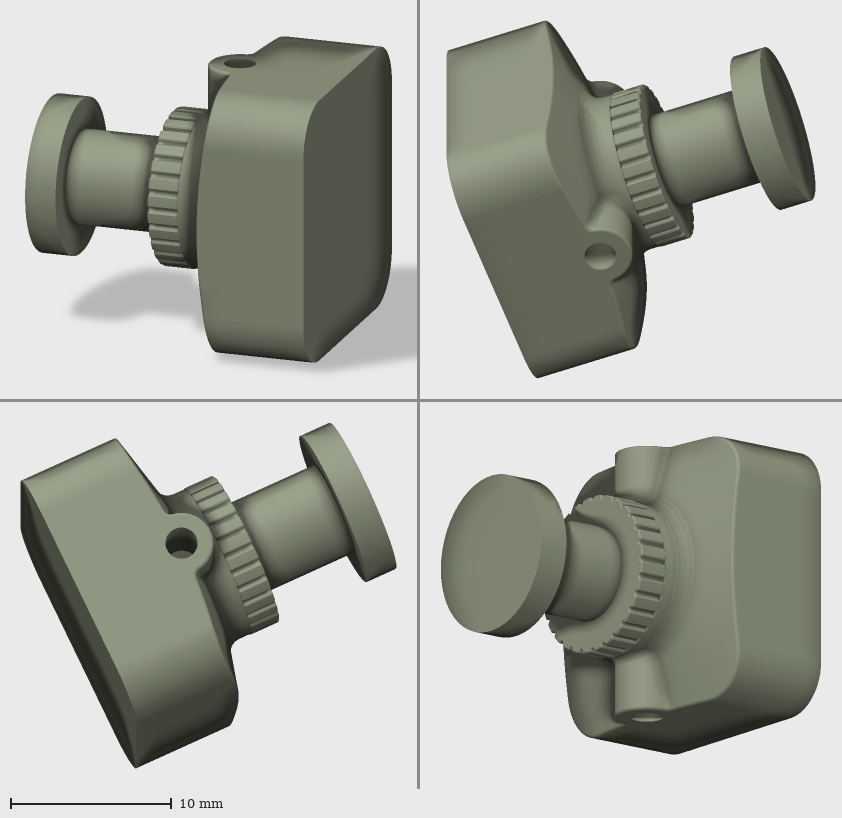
import cadquery as cq
import math

knob_diameter = 10.0
knob_length = 2.0
stem_diameter = 6.0

nut_start = 8.03
nut_diameter = 10.0
nut_chamfer = 0.07
groove_count = 28
groove_depth = 0.23
groove_shoulder_depth = 0.08
groove_top_width = 0.5
groove_floor_width = 0.3

total_length = 19.51
housing_width = 17.02
corner_radius = 3.0
cone_angle = 15.0
rim_x = 12.46
rim_fillet = 0.2

collar_start = 10.0
collar_radius = 4.95
collar_fillet = 1.0

port_x = 12.43
port_radius = 2.0
port_bore_diameter = 2.0
port_fillet = 0.45

half_width = housing_width / 2
cone_slope = math.tan(math.radians(cone_angle))
apex_x = rim_x - half_width * cone_slope
cone_end_x = apex_x + housing_width * cone_slope
stem_end = port_x + port_radius

collar_allowance = 0.5
tolerance = 0.01


def rod(start_x, end_x, radius):
    """Cylinder along the X axis."""
    return cq.Workplane("YZ", origin=(start_x, 0, 0)).circle(radius).extrude(end_x - start_x)


def housing_block():
    """Square block with rounded corners and a shallow cone as its front face."""
    block = (
        cq.Workplane("YZ", origin=(apex_x, 0, 0))
        .rect(housing_width, housing_width)
        .extrude(total_length - apex_x)
        .edges("|X")
        .fillet(corner_radius)
    )
    cone = (
        cq.Workplane("XY")
        .moveTo(apex_x, 0)
        .lineTo(cone_end_x, housing_width)
        .lineTo(total_length, housing_width)
        .lineTo(total_length, 0)
        .close()
        .revolve(360, (0, 0, 0), (1, 0, 0))
    )
    return block.intersect(cone)


def at_collar_foot(edge):
    """True for the circle where the collar meets the cone."""
    foot_x = apex_x + collar_radius * cone_slope
    return edge.geomType() == "CIRCLE" and abs(edge.Center().x - foot_x) < tolerance


def at_rim(edge):
    """True for edges along the outline of the housing's front face, ports included."""
    middle = edge.positionAt(0.5)
    y = abs(middle.y)
    z = abs(middle.z)
    corner_centre = half_width - corner_radius
    if min(y, z) > corner_centre:
        on_outline = math.hypot(y - corner_centre, z - corner_centre) > corner_radius - tolerance
    else:
        on_outline = max(y, z) > half_width - tolerance
    return on_outline and edge.geomType() != "LINE" and edge.BoundingBox().xmax < cone_end_x


def at_port_foot(edge):
    """True for edges where a port runs into the cone or the collar."""
    ends = [edge.startPoint(), edge.endPoint()]
    on_port = all(
        abs(math.hypot(end.x - port_x, end.y) - port_radius) < tolerance for end in ends
    )
    return on_port and not at_rim(edge)


def housing():
    """Front housing with its collar and ports, all blended together."""
    body = housing_block().union(rod(collar_start - collar_allowance, rim_x, collar_radius))
    body = body.edges().filter(at_collar_foot).fillet(collar_fillet)
    ports = (
        cq.Workplane("XY", origin=(port_x, 0, -half_width))
        .circle(port_radius)
        .extrude(housing_width)
    )
    body = body.union(ports)
    body = body.edges().filter(at_port_foot).fillet(port_fillet)
    body = body.edges().filter(at_rim).fillet(rim_fillet)
    body = body.cut(rod(collar_start - 2 * collar_allowance, collar_start, housing_width))
    bores = (
        cq.Workplane("XY", origin=(port_x, 0, -half_width))
        .circle(port_bore_diameter / 2)
        .extrude(housing_width)
    )
    return body.cut(bores)


def groove():
    """Cutter for one knurl groove at the top of the nut: a round floor between sloped shoulders."""
    nut_radius = nut_diameter / 2
    floor_z = nut_radius - groove_depth
    shoulder_z = nut_radius - groove_shoulder_depth
    return (
        cq.Workplane("YZ", origin=(nut_start, 0, 0))
        .moveTo(-groove_top_width / 2, nut_radius)
        .lineTo(-groove_floor_width / 2, shoulder_z)
        .threePointArc((0, floor_z), (groove_floor_width / 2, shoulder_z))
        .lineTo(groove_top_width / 2, nut_radius)
        .close()
        .extrude(collar_start - nut_start)
    )


def nut():
    """Knurled nut, its end faces lightly chamfered all round, grooves included."""
    body = rod(nut_start, collar_start, nut_diameter / 2)
    cutter = groove()
    for index in range(groove_count):
        angle = 90 + index * 360 / groove_count
        body = body.cut(cutter.rotate((0, 0, 0), (1, 0, 0), angle))
    return body.faces("<X or >X").edges().chamfer(nut_chamfer)


def knob_and_stem():
    """Round knob on a stem that runs back into the housing, across the port bores."""
    knob = rod(0, knob_length, knob_diameter / 2)
    stem = rod(knob_length, stem_end, stem_diameter / 2)
    return knob.union(stem)


result = housing().union(nut()).union(knob_and_stem())